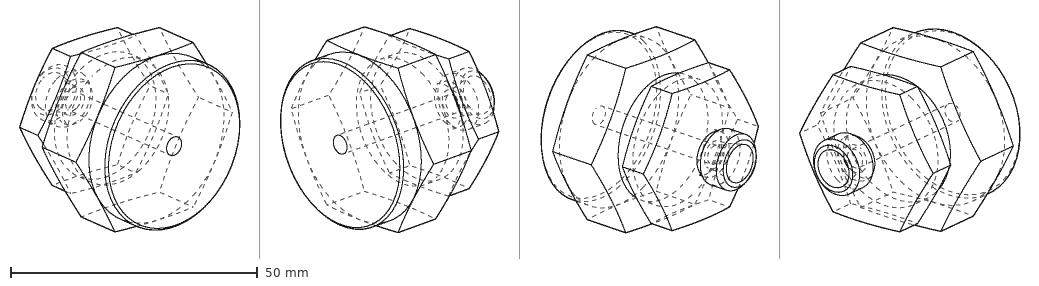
import cadquery as cq
import math

total_length = 38.6
large_hex_corners = 41.55
small_hex_flats = 30.0

small_hex_start = 10.0
small_hex_end = 17.0
large_hex_start = 21.05
large_hex_end = 33.1

spigot_radius = 6.0
spigot_chamfer = 1.0
neck_radius = 4.85
neck_start_x = 7.3
root_fillet = 1.1
taper_angle = 30.0

collar_radius = 13.5
end_radius = 17.95
end_chamfer = 0.55

hex_sides = 6
hex_chamfer_angle = 15.0

mouth_radius = 4.05
socket_radius = 3.0
socket_depth = 7.0
bore_radius = 2.0
cone_half_angle = 12.0

hex_flats_per_corners = math.cos(math.pi / hex_sides)
large_hex_flats = large_hex_corners * hex_flats_per_corners
cone_depth = (mouth_radius - socket_radius) / math.tan(math.radians(cone_half_angle))


def cylinder(start, end, radius):
    """Cylinder around the X axis between two X positions."""
    return cq.Workplane("YZ").workplane(offset=start).circle(radius).extrude(end - start)


def revolved(profile):
    """Revolve a closed (x, radius) profile around the X axis."""
    return profile.close().revolve(360, (0, 0, 0), (1, 0, 0))


def hexagon(start, end, flats):
    """Hexagon with corners on +/-Y, its corners bevelled down to the inscribed circle at both ends."""
    flat_radius = flats / 2
    corner_radius = flat_radius / hex_flats_per_corners
    bevel = (corner_radius - flat_radius) * math.tan(math.radians(hex_chamfer_angle))
    prism = (
        cq.Workplane("YZ")
        .workplane(offset=start)
        .polygon(hex_sides, 2 * corner_radius)
        .extrude(end - start)
    )
    bevel_envelope = revolved(
        cq.Workplane("XY")
        .moveTo(start, 0)
        .lineTo(start, flat_radius)
        .lineTo(start + bevel, corner_radius)
        .lineTo(end - bevel, corner_radius)
        .lineTo(end, flat_radius)
        .lineTo(end, 0)
    )
    return prism.intersect(bevel_envelope)


def spigot():
    """Chamfered spigot that tapers into a neck, with a concave fillet at the root of the neck."""
    shoulder_x = neck_start_x - (spigot_radius - neck_radius) / math.tan(math.radians(taper_angle))
    return revolved(
        cq.Workplane("XY")
        .lineTo(0, spigot_radius - spigot_chamfer)
        .lineTo(spigot_chamfer, spigot_radius)
        .lineTo(shoulder_x, spigot_radius)
        .lineTo(neck_start_x, neck_radius)
        .lineTo(small_hex_start - root_fillet, neck_radius)
        .tangentArcPoint((small_hex_start, neck_radius + root_fillet), relative=False)
        .lineTo(small_hex_start, 0)
    )


def end_body():
    """Round body at the far end with a chamfered rim."""
    return cylinder(large_hex_end, total_length, end_radius).faces(">X").chamfer(end_chamfer)


def bore():
    """Conical mouth, straight tube socket and a narrower bore through the whole part."""
    stepped_socket = revolved(
        cq.Workplane("XY")
        .lineTo(0, mouth_radius)
        .lineTo(cone_depth, socket_radius)
        .lineTo(socket_depth, socket_radius)
        .lineTo(socket_depth, 0)
    )
    return stepped_socket.union(cylinder(0, total_length, bore_radius))


result = (
    spigot()
    .union(hexagon(small_hex_start, small_hex_end, small_hex_flats))
    .union(cylinder(small_hex_end, large_hex_start, collar_radius))
    .union(hexagon(large_hex_start, large_hex_end, large_hex_flats))
    .union(end_body())
    .cut(bore())
)